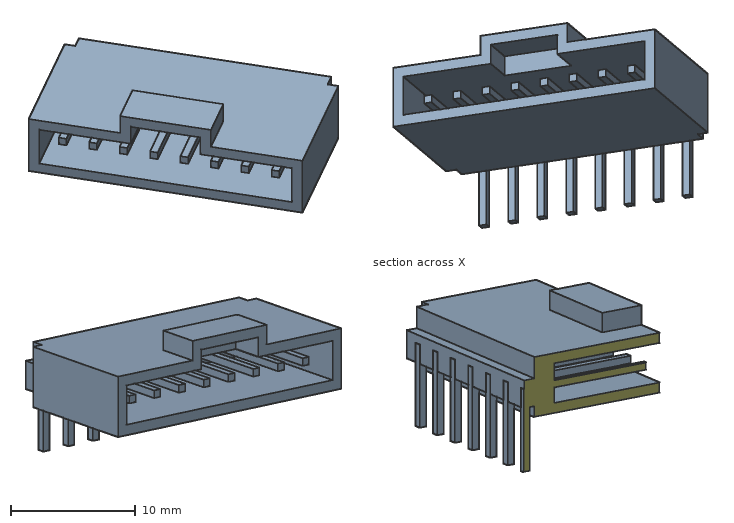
import cadquery as cq

housing_width = 22.85
housing_height = 5.07
housing_depth = 12.2
shoulder_depth = 11.09
wall = 0.9
cavity_width = housing_width - 2 * wall
cavity_height = housing_height - 2 * wall
cavity_depth = shoulder_depth - wall

key_width = 7.6
key_depth = 3.82
key_rise = 1.65

ledge_back = 13.2
ledge_height = 2.38

pin_count = 8
pin_pitch = 2.54
pin_size = 0.65
pin_setback = 1.3
contact_axis_height = 2.47
contact_shift = 0.057
leg_top = housing_height / 2
pin_back = 13.24
leg_drop = 4.45


def block(width, y_front, y_back, z_bottom, z_top, x_centre=0.0):
    """Box centred on x_centre in X, between the given Y and Z limits."""
    depth = y_back - y_front
    height = z_top - z_bottom
    box = cq.Workplane("XY").box(width, depth, height, centered=(True, False, False))
    return box.translate((x_centre, y_front, z_bottom))


def make_housing():
    """Shrouded shell with its key, narrower rear and ledge."""
    key_top = housing_height + key_rise
    shell = block(housing_width, 0, shoulder_depth, 0, housing_height)
    rear = block(cavity_width, cavity_depth, housing_depth, 0, housing_height)
    ledge = block(cavity_width, cavity_depth, ledge_back, wall, wall + ledge_height)
    key = block(key_width, 0, key_depth, wall, key_top)
    cavity = block(cavity_width, 0, cavity_depth, wall, wall + cavity_height)
    key_pocket = block(key_width - 2 * wall, 0, key_depth - wall, wall, key_top - wall)
    return shell.union(rear).union(ledge).union(key).cut(cavity).cut(key_pocket)


def make_pin(x_centre):
    """Contact along Y joined to a leg that drops at the back."""
    leg_front = pin_back - pin_size
    contact_bottom = contact_axis_height - pin_size / 2
    contact = block(pin_size, pin_setback, leg_front + pin_size / 2,
                    contact_bottom, contact_bottom + pin_size, x_centre - contact_shift)
    leg = block(pin_size, leg_front, pin_back, -leg_drop, leg_top, x_centre)
    return contact.union(leg)


result = make_housing()
for index in range(pin_count):
    offset = index - (pin_count - 1) / 2
    result = result.union(make_pin(offset * pin_pitch))